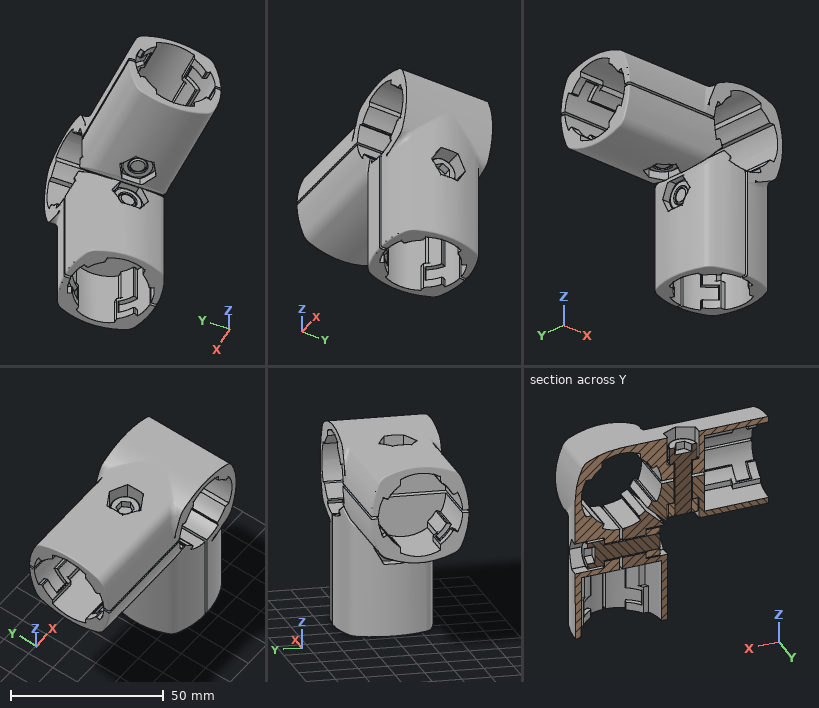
import cadquery as cq
import math

ARM_LENGTH = 52.45
HALF_SIZE = 16.55
BOW_HALF_WIDTH = 11.6
BOW_EDGE = 14.1
RIM_FILLET = 0.5
MITRE_FILLET = 0.6
BLEND_RADIUS = 2.0
BLEND_BULGE = 0.1
BULGE_Z = (4.15, 5.85)
BULGE_INNER_X = 16.55

BORE_RADIUS = 14.2
PAD_RADIUS = 12.55
PAD_OFFSET = 6.75
SETBACK_PAD_OFFSET = 8.0
SOCKET_DEPTH = 22.8
WIDE_PAD_DEPTH = 10.0
PAD_BEVEL = 0.35
NOTCH_START = 3.05
NOTCH_END = 8.5
NOTCH_OFFSET = 7.5

MAIN_SPLIT = 0.55
COVER_SPLIT = -0.35
MITRE_SHIFT = 0.75

SCREW_X = -21.95
SHAFT_DIAMETER = 6.0
CLEARANCE_DIAMETER = 6.5
HEAD_DIAMETER = 9.9
HEAD_TOP = 12.2
HEAD_HEIGHT = 6.0
HEAD_CHAMFER = 0.3
HEX_KEY_SIZE = 5.2
HEX_KEY_DEPTH = 2.75
TIP_CHAMFER = 0.6
POCKET_SIZE = 11.2
NUT_SIZE = 10.75
NUT_FACE_DIAMETER = 9.8
NUT_OUTER_FACE = -13.8
NUT_HEIGHT = 5.0
NUT_CONE_HEIGHT = 0.7
NUT_COUNTERSINK = 0.35

DIAGONAL = cq.Vector(1, 0, -1)
MITRE_TOLERANCE = 0.01
BIG = 2 * ARM_LENGTH
HEAD_BOTTOM = HEAD_TOP - HEAD_HEIGHT
NUT_INNER_FACE = NUT_OUTER_FACE + NUT_HEIGHT
COS_30 = math.cos(math.radians(30))


def mirrored(body):
    """Copy of a body carried from the X arm to the Z arm."""
    return cq.Workplane(body.val().mirror(DIAGONAL))


def half_space(x_range, z_range):
    """Block, endless in Y, between two X and two Z limits."""
    x_size = x_range[1] - x_range[0]
    z_size = z_range[1] - z_range[0]
    return cq.Workplane().box(x_size, BIG, z_size).translate(
        (sum(x_range) / 2, 0, sum(z_range) / 2))


def slab(half_width):
    """Block, endless in X and Z, centred on the XZ plane."""
    return cq.Workplane().box(BIG, 2 * half_width, BIG)


def rounded_square(plane):
    """Outline with four bowed sides and tangent corner rounds, shared by the ring and the arms."""
    rise = HALF_SIZE - BOW_EDGE
    bow_radius = (BOW_HALF_WIDTH**2 + rise**2) / (2 * rise)
    half_angle = math.asin(BOW_HALF_WIDTH / bow_radius) / 2
    bow_mid = (
        bow_radius * math.sin(half_angle),
        HALF_SIZE - bow_radius * (1 - math.cos(half_angle)),
    )
    corner_sweep = math.pi / 2 - 4 * half_angle
    corner_chord = (BOW_EDGE - BOW_HALF_WIDTH) * math.sqrt(2)
    corner_mid = (BOW_EDGE + BOW_HALF_WIDTH) / 2 + corner_chord / 2 * math.tan(corner_sweep / 4) / math.sqrt(2)

    outline = plane.moveTo(0, HALF_SIZE)
    for quarter in range(4):
        turn = -math.pi / 2 * quarter

        def turned(x, y):
            return (x * math.cos(turn) - y * math.sin(turn), x * math.sin(turn) + y * math.cos(turn))

        outline = (
            outline
            .threePointArc(turned(*bow_mid), turned(BOW_HALF_WIDTH, BOW_EDGE))
            .threePointArc(turned(corner_mid, corner_mid), turned(BOW_EDGE, BOW_HALF_WIDTH))
            .threePointArc(turned(bow_mid[1], bow_mid[0]), turned(HALF_SIZE, 0))
        )
    return outline.close()


def padded_bore(plane, straight_walls, offset=PAD_OFFSET):
    """Bore outline with a pad in each quadrant.

    straight_walls tells for each pad whether its start and end walls are straight;
    the others are radial and stay at PAD_OFFSET.
    """
    def at(radius, angle):
        return (radius * math.cos(angle), radius * math.sin(angle))

    def wall(straight):
        """Angle at the bore, radius and angle where the bevel starts, angle where the pad face starts."""
        wall_offset = offset if straight else PAD_OFFSET
        outer = math.asin(wall_offset / BORE_RADIUS)
        if not straight:
            return outer, PAD_RADIUS + PAD_BEVEL, outer, outer + PAD_BEVEL / PAD_RADIUS
        face = math.asin((wall_offset + PAD_BEVEL) / PAD_RADIUS)
        bevel_height = PAD_RADIUS * math.cos(face) + PAD_BEVEL
        return outer, math.hypot(wall_offset, bevel_height), math.atan2(wall_offset, bevel_height), face

    outline = plane.moveTo(BORE_RADIUS, 0)
    for quarter, (start_straight, end_straight) in enumerate(straight_walls):
        base = quarter * math.pi / 2
        end = base + math.pi / 2
        start_outer, start_bevel_radius, start_bevel, start_face = wall(start_straight)
        end_outer, end_bevel_radius, end_bevel, end_face = wall(end_straight)
        pad_middle = (base + start_face + end - end_face) / 2
        outline = (
            outline
            .threePointArc(at(BORE_RADIUS, base + start_outer / 2), at(BORE_RADIUS, base + start_outer))
            .lineTo(*at(start_bevel_radius, base + start_bevel))
            .lineTo(*at(PAD_RADIUS, base + start_face))
            .threePointArc(at(PAD_RADIUS, pad_middle), at(PAD_RADIUS, end - end_face))
            .lineTo(*at(end_bevel_radius, end - end_bevel))
            .lineTo(*at(BORE_RADIUS, end - end_outer))
            .threePointArc(at(BORE_RADIUS, end - end_outer / 2), at(BORE_RADIUS, end))
        )
    return outline.close()


def ring_blank(half_width):
    return rounded_square(cq.Workplane("XZ")).extrude(half_width, both=True)


def arm_blank(end_x):
    """Solid arm along X from the open end to end_x, with its rim rounded."""
    blank = rounded_square(cq.Workplane("YZ", origin=(-ARM_LENGTH, 0, 0))).extrude(ARM_LENGTH + end_x)
    return blank.faces("<X").edges().fillet(RIM_FILLET)


def cross_bore():
    """Bore along Y; pad walls that face a split between bodies are radial."""
    walls = [(True, True), (True, False), (False, False), (False, True)]
    return padded_bore(cq.Workplane("XZ"), walls).extrude(BIG, both=True)


def arm_socket():
    """Blind tube socket of an arm, with the pads notched near the open end."""
    walls = [(False, True), (True, False), (False, True), (True, False)]

    def depth_plane(depth):
        return cq.Workplane("YZ", origin=(depth - ARM_LENGTH, 0, 0))

    notch_length = NOTCH_END - NOTCH_START
    notches = depth_plane(NOTCH_START).circle(BORE_RADIUS).extrude(notch_length)
    lip_top = math.sqrt(PAD_RADIUS**2 - (PAD_OFFSET + PAD_BEVEL)**2)
    lip_outline = [
        (PAD_OFFSET, HALF_SIZE),
        (PAD_OFFSET, lip_top + PAD_BEVEL),
        (PAD_OFFSET + PAD_BEVEL, lip_top),
        (NOTCH_OFFSET, lip_top),
        (NOTCH_OFFSET, HALF_SIZE),
    ]
    for side in (-1, 1):
        for level in (-1, 1):
            corners = [(side * y, level * z) for y, z in lip_outline]
            notches = notches.cut(depth_plane(NOTCH_START).polyline(corners).close().extrude(notch_length))

    front_pads = padded_bore(depth_plane(0), walls).extrude(NOTCH_START)
    rear_pads = padded_bore(depth_plane(NOTCH_END), walls).extrude(WIDE_PAD_DEPTH - NOTCH_END)
    setback_pads = padded_bore(depth_plane(WIDE_PAD_DEPTH), walls, SETBACK_PAD_OFFSET).extrude(
        SOCKET_DEPTH - WIDE_PAD_DEPTH)
    return front_pads.union(notches).union(rear_pads).union(setback_pads)


def hex_prism(size, bottom, top, turn=0):
    """Hexagonal prism on the screw axis; its corners point along X unless turned."""
    prism = cq.Workplane().polygon(6, size / COS_30).extrude(top - bottom)
    return prism.rotate((0, 0, 0), (0, 0, 1), turn).translate((SCREW_X, 0, bottom))


def screw_cylinder(diameter, bottom, top):
    return cq.Workplane(origin=(SCREW_X, 0, bottom)).circle(diameter / 2).extrude(top - bottom)


def screw_holes():
    """Clearance hole with a hexagonal pocket for the head and one for the nut."""
    return (
        screw_cylinder(CLEARANCE_DIAMETER, NUT_OUTER_FACE, HEAD_TOP)
        .union(hex_prism(POCKET_SIZE, HEAD_BOTTOM, HALF_SIZE, 30))
        .union(hex_prism(POCKET_SIZE, -HALF_SIZE, NUT_INNER_FACE, 30))
    )


def lies_in_mitre_plane(edge):
    """True for the edges where the X arm runs into the ring, on the planes |x| = |y|."""
    points = [edge.positionAt(place) for place in (0, 0.3, 1)]
    return all(abs(point.x + abs(point.y)) < MITRE_TOLERANCE for point in points)


def make_ring_with_arm():
    """Ring and the outer half of the X arm, with the concave blend between them.

    The ring starts wider than needed, so that the blend can run out past its flat faces.
    """
    lower_half = half_space((-BIG, BIG), (-BIG, MAIN_SPLIT))
    arm = arm_blank(0).cut(lower_half)
    joined = ring_blank(2 * HALF_SIZE).cut(lower_half).union(arm)
    mitre_edges = [edge for edge in joined.edges("not #Y").vals() if lies_in_mitre_plane(edge)]
    blended = joined.newObject(mitre_edges).fillet(BLEND_RADIUS)
    bulge_x = (-HALF_SIZE - BLEND_RADIUS, -BULGE_INNER_X)
    bulge = half_space(bulge_x, BULGE_Z).intersect(slab(HALF_SIZE + BLEND_BULGE))
    return blended.intersect(slab(HALF_SIZE).union(bulge))


def make_housing():
    """Ring with the outer halves of both arms in one piece."""
    x_side = make_ring_with_arm()
    ring = ring_blank(HALF_SIZE).cut(half_space((-BIG, MAIN_SPLIT), (-BIG, MAIN_SPLIT)))
    housing = x_side.union(ring).union(mirrored(x_side)).cut(cross_bore())
    x_cuts = arm_socket().union(screw_holes())
    return housing.cut(x_cuts).cut(mirrored(x_cuts))


def make_cover():
    """Inner half of the X arm, mitred towards the other cover."""
    mitre = (
        cq.Workplane("XZ")
        .polyline([(-BIG, MITRE_SHIFT - BIG), (BIG, MITRE_SHIFT + BIG), (BIG, -BIG)])
        .close()
        .extrude(BIG, both=True)
    )
    blank = arm_blank(0).cut(half_space((-BIG, BIG), (COVER_SPLIT, BIG))).cut(mitre)
    mitre_face = blank.faces(cq.selectors.ParallelDirSelector(DIAGONAL))
    blank = mitre_face.edges("%ELLIPSE").fillet(MITRE_FILLET)
    return blank.cut(cross_bore()).cut(arm_socket()).cut(screw_holes())


def make_screw():
    """Socket head cap screw, its tip flush with the outer nut face."""
    head = screw_cylinder(HEAD_DIAMETER, HEAD_BOTTOM, HEAD_TOP).faces(">Z").chamfer(HEAD_CHAMFER)
    shaft = screw_cylinder(SHAFT_DIAMETER, NUT_OUTER_FACE, HEAD_BOTTOM).faces("<Z").chamfer(TIP_CHAMFER)
    return head.union(shaft).cut(hex_prism(HEX_KEY_SIZE, HEAD_TOP - HEX_KEY_DEPTH, HEAD_TOP))


def make_nut():
    """Hexagon nut with a chamfered outer face and countersunk thread."""
    blank = hex_prism(NUT_SIZE, NUT_OUTER_FACE, NUT_INNER_FACE, 30)
    corner_radius = NUT_SIZE / COS_30 / 2
    cone_width = corner_radius - NUT_FACE_DIAMETER / 2
    turned = screw_cylinder(2 * corner_radius, NUT_OUTER_FACE, NUT_INNER_FACE).faces("<Z").chamfer(
        NUT_CONE_HEIGHT, cone_width)
    thread = screw_cylinder(SHAFT_DIAMETER, NUT_OUTER_FACE, NUT_INNER_FACE)
    countersink_diameter = SHAFT_DIAMETER + 2 * NUT_COUNTERSINK
    countersink = screw_cylinder(
        countersink_diameter, NUT_OUTER_FACE, NUT_OUTER_FACE + countersink_diameter / 2).faces(">Z").chamfer(
        countersink_diameter / 2 - 0.01)
    return blank.intersect(turned).cut(thread).cut(countersink)


housing = make_housing()
x_arm_parts = [make_cover(), make_screw(), make_nut()]
z_arm_parts = [mirrored(part) for part in x_arm_parts]
result = cq.Compound.makeCompound([housing.val()] + [part.val() for part in x_arm_parts + z_arm_parts])